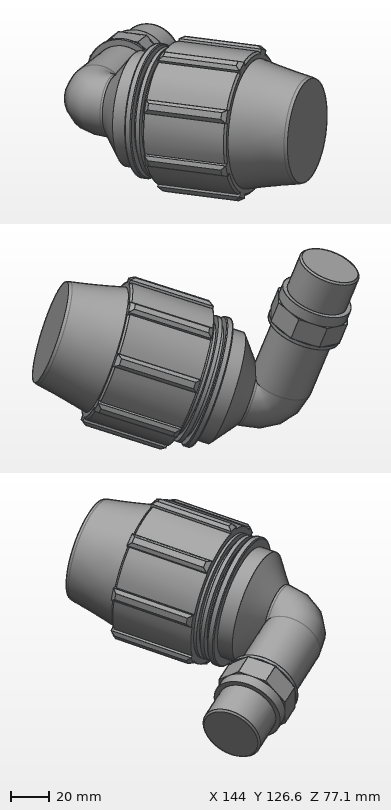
import cadquery as cq
import math


pipe_radius = 33.3 / 2
pipe_end = 88.0
pipe_end_chamfer = 1.0

flange_radius = 39.9 / 2
flange_start = 47.8
octagon_start = 49.8
octagon_end = 61.9
octagon_across_flats = 38.3
shoulder_end = 68.0

bend_radius = 13.4

cone_start = 14.7
barrel_start = 26.2
barrel_radius = 61.5 / 2
ring_radius = 69.2 / 2
stop_ring_radius = 71.4 / 2
stop_ring_start = 34.8
stop_ring_end = 38.6
stop_ring_chamfer = 0.6
middle_ring_start = 40.7
middle_ring_end = 42.9
last_ring_start = 45.2

total_length = 144.0
nose_end = total_length - flange_radius
nose_end_radius = 28.4
nose_end_chamfer = 1.7
nose_end_chamfer_drop = 0.6
nose_root_radius = 34.5
nose_hollow = 0.3
nut_start = 46.8
nut_end = 93.1
nut_radius = 38.1
nut_chamfer = 1.2

rib_count = 8
rib_top = 41.0
rib_shoulder = 39.3
rib_sink = 1.5
rib_base = nut_radius - rib_sink
rib_top_width = 3.6
rib_base_width = 7.2
rib_end_slope = 2.5


def cylinder_x(start, end, radius):
    return cq.Workplane("YZ", origin=(start, 0, 0)).circle(radius).extrude(end - start)


def cylinder_y(start, end, radius):
    return cq.Workplane("XZ", origin=(0, start, 0)).circle(radius).extrude(start - end)


def make_pipe_leg():
    pipe = cylinder_y(bend_radius, pipe_end, pipe_radius).faces(">Y").chamfer(pipe_end_chamfer)
    flange = cylinder_y(flange_start, octagon_start, flange_radius)
    shoulder = cylinder_y(octagon_end, shoulder_end, octagon_across_flats / 2)
    octagon = (
        cq.Workplane("XZ", origin=(0, octagon_start, 0))
        .polygon(8, octagon_across_flats, circumscribed=True)
        .extrude(octagon_start - octagon_end)
    )
    return pipe.union(flange).union(octagon).union(shoulder)


def make_elbow():
    half_chord = math.sqrt(pipe_radius**2 - bend_radius**2)
    section = (
        cq.Workplane("XZ", origin=(0, bend_radius, 0))
        .moveTo(bend_radius, half_chord)
        .threePointArc((-pipe_radius, 0), (bend_radius, -half_chord))
        .close()
    )
    return section.revolve(90, (bend_radius, 0), (bend_radius, 1))


def make_body():
    neck = cylinder_x(bend_radius, cone_start, pipe_radius)
    cone = (
        cq.Workplane("XY")
        .moveTo(cone_start, 0)
        .lineTo(cone_start, pipe_radius)
        .lineTo(barrel_start, barrel_radius)
        .lineTo(barrel_start, 0)
        .close()
        .revolve(360, (0, 0), (1, 0))
    )
    body = neck.union(cone).union(cylinder_x(barrel_start, nut_start, barrel_radius))
    stop_ring = cylinder_x(stop_ring_start, stop_ring_end, stop_ring_radius).edges().chamfer(stop_ring_chamfer)
    body = body.union(stop_ring)
    body = body.union(cylinder_x(middle_ring_start, middle_ring_end, ring_radius))
    return body.union(cylinder_x(last_ring_start, nut_start, ring_radius))


def make_nut():
    taper_end = nose_end - nose_end_chamfer
    middle = ((nut_end + taper_end) / 2, (nose_root_radius + nose_end_radius) / 2 - nose_hollow)
    return (
        cq.Workplane("XY")
        .moveTo(nut_start, 0)
        .lineTo(nut_start, nut_radius)
        .lineTo(nut_end - nut_chamfer, nut_radius)
        .lineTo(nut_end, nut_radius - nut_chamfer)
        .lineTo(nut_end, nose_root_radius)
        .threePointArc(middle, (taper_end, nose_end_radius))
        .lineTo(nose_end, nose_end_radius - nose_end_chamfer_drop)
        .lineTo(nose_end, 0)
        .close()
        .revolve(360, (0, 0), (1, 0))
    )


def make_rib():
    across = (
        cq.Workplane("YZ", origin=(nut_start, 0, 0))
        .moveTo(-rib_base_width / 2, rib_base)
        .lineTo(-rib_base_width / 2, rib_shoulder)
        .lineTo(-rib_top_width / 2, rib_top)
        .lineTo(rib_top_width / 2, rib_top)
        .lineTo(rib_base_width / 2, rib_shoulder)
        .lineTo(rib_base_width / 2, rib_base)
        .close()
        .extrude(nut_end - nut_start)
    )
    along = (
        cq.Workplane("XZ")
        .moveTo(nut_start, rib_base)
        .lineTo(nut_start, rib_shoulder)
        .lineTo(nut_start + rib_end_slope, rib_top)
        .lineTo(nut_end - rib_end_slope, rib_top)
        .lineTo(nut_end, rib_shoulder)
        .lineTo(nut_end, rib_base)
        .close()
        .extrude(rib_base_width, both=True)
    )
    return across.intersect(along)


result = make_pipe_leg().union(make_elbow()).union(make_body()).union(make_nut())
rib = make_rib()
rib_pitch = 360 / rib_count
for index in range(rib_count):
    angle = (index + 0.5) * rib_pitch
    result = result.union(rib.rotate((0, 0, 0), (1, 0, 0), angle))